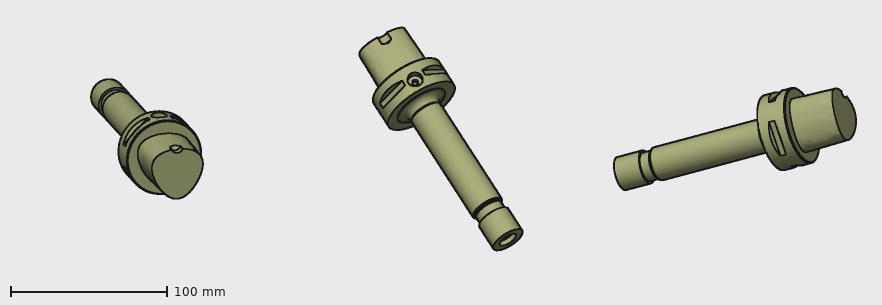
import cadquery as cq
import math

total_length = 160
collar_end = 18.0
groove_end = 24.3
groove_cone_end = 25.3
shoulder_end = 26.0
body_start = 26.5
body_end = 103.8
neck_start = 104.3
fillet_start = 105.3
flange_start = 110.0
flange_end = 130.0

body_radius = 22.0 / 2
neck_radius = 21.8 / 2
groove_radius = 19.0 / 2
groove_cone_radius = 19.7 / 2
flange_radius = 50.0 / 2
flange_chamfer = 0.6
fillet_radius = 5.1
recess_radius = 17.6

bore_radius = 11.0 / 2
bore_depth = 19.2
mouth_radius = 12.3 / 2
mouth_depth = 3.7
mouth_cone_end = 4.6
drill_half_angle = math.radians(60)

gripper_floor_width = 3.8
gripper_mouth_width = 6.7
gripper_floor_distance = 22.0

radial_hole_setback = 8
radial_hole_x = flange_start + radial_hole_setback
radial_hole_radius = 10.0 / 2
radial_hole_depth = 4.8
pilot_radius = 4.0 / 2
pilot_depth = 3.2

shank_base_radius = 17.6
shank_taper = 1 / 40
lobe_size = 1.4
keyway_radius = 7.7 / 2
keyway_length = 5.5
keyway_height = 16.6

cutter_clearance = 1.6


def drill(radius, depth):
    """Cylinder from the origin along +Z that ends in a drill point."""
    tip_height = depth + radius / math.tan(drill_half_angle)
    profile = cq.Workplane("XZ").polyline([(0, 0), (radius, 0), (radius, depth), (0, tip_height)]).close()
    return profile.revolve(360, (0, 0, 0), (0, 1, 0))


def turned_body():
    """Collar, groove, long body, filleted neck and flange with its face recess."""
    fillet_end = fillet_start + fillet_radius
    fillet_outer = neck_radius + fillet_radius
    arc_offset = fillet_radius * math.sqrt(0.5)
    profile = (
        cq.Workplane("XY")
        .polyline([
            (0, 0),
            (0, body_radius),
            (collar_end, body_radius),
            (collar_end, groove_radius),
            (groove_end, groove_radius),
            (groove_cone_end, groove_cone_radius),
            (shoulder_end, neck_radius),
            (body_start, body_radius),
            (body_end, body_radius),
            (neck_start, neck_radius),
            (fillet_start, neck_radius),
        ])
        .threePointArc(
            (fillet_start + arc_offset, fillet_outer - arc_offset),
            (fillet_end, fillet_outer),
        )
        .lineTo(fillet_end, recess_radius)
        .lineTo(flange_start, recess_radius)
        .lineTo(flange_start, flange_radius)
        .lineTo(flange_end - flange_chamfer, flange_radius)
        .lineTo(flange_end, flange_radius - flange_chamfer)
        .lineTo(flange_end, 0)
        .close()
    )
    return profile.revolve(360, (0, 0, 0), (1, 0, 0))


def nose_bore():
    """Wider mouth, short cone and drilled bore along the X axis."""
    mouth = (
        cq.Workplane("XY")
        .polyline([
            (0, 0),
            (0, mouth_radius),
            (mouth_depth, mouth_radius),
            (mouth_cone_end, bore_radius),
            (mouth_cone_end, 0),
        ])
        .close()
        .revolve(360, (0, 0, 0), (1, 0, 0))
    )
    return mouth.union(drill(bore_radius, bore_depth).rotate((0, 0, 0), (0, 1, 0), 90))


def gripper_groove(angle):
    """Straight flat-floored groove with sloping sides, turned about X from the top."""
    half_floor = gripper_floor_width / 2
    slope = (gripper_mouth_width - gripper_floor_width) / 2 / (flange_radius - gripper_floor_distance)
    cutter_top = flange_radius + cutter_clearance
    half_top = half_floor + slope * (cutter_top - gripper_floor_distance)
    center = (flange_start + flange_end) / 2
    return (
        cq.Workplane("XZ")
        .polyline([
            (center - half_floor, gripper_floor_distance),
            (center + half_floor, gripper_floor_distance),
            (center + half_top, cutter_top),
            (center - half_top, cutter_top),
        ])
        .close()
        .extrude(flange_radius, both=True)
        .rotate((0, 0, 0), (1, 0, 0), angle)
    )


def radial_hole():
    """Flat-bottomed counterbore with a drilled pilot, entering from the top."""
    floor_z = flange_radius - radial_hole_depth
    counterbore = (
        cq.Workplane("XY", origin=(radial_hole_x, 0, floor_z))
        .circle(radial_hole_radius)
        .extrude(radial_hole_depth + cutter_clearance)
    )
    pilot = drill(pilot_radius, pilot_depth).rotate((0, 0, 0), (1, 0, 0), 180)
    return counterbore.union(pilot.translate((radial_hole_x, 0, floor_z)))


def shank():
    """Three-lobed taper with one lobe pointing down."""
    length = total_length - flange_end

    def lobed_curve(radius):
        def point(t):
            a = 2 * math.pi * t
            y = radius * math.sin(a) + lobe_size * math.sin(2 * a)
            z = radius * math.cos(a) - lobe_size * math.cos(2 * a)
            return (y, z)
        return point

    end_radius = shank_base_radius - shank_taper * length
    return (
        cq.Workplane("YZ", origin=(flange_end, 0, 0))
        .parametricCurve(lobed_curve(shank_base_radius))
        .workplane(offset=length)
        .parametricCurve(lobed_curve(end_radius))
        .loft(ruled=True, combine=True)
    )


def keyway():
    """Round-floored slot with a drill point, open at the end of the shank."""
    cutter = drill(keyway_radius, keyway_length).rotate((0, 0, 0), (0, 1, 0), -90)
    return cutter.translate((total_length, 0, keyway_height))


result = turned_body().union(shank())
result = result.cut(nose_bore()).cut(radial_hole()).cut(keyway())
for groove_angle in (45, 135, 225, 315):
    result = result.cut(gripper_groove(groove_angle))